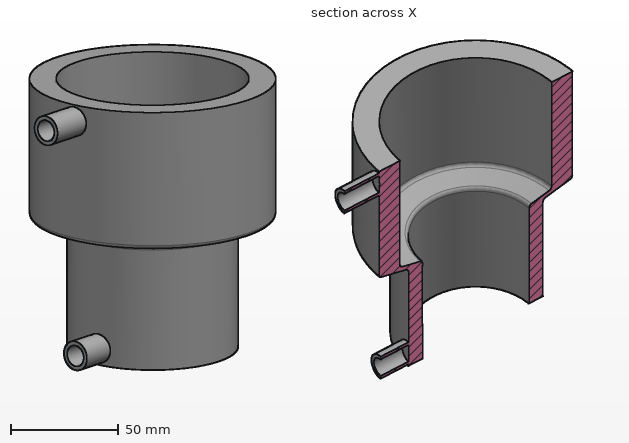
import cadquery as cq

total_height = 130.0
body_diameter = 115.0
body_bore = 90.0
neck_diameter = 80.0
neck_bore = 63.0

shoulder_bottom = 60.0
shoulder_top = 64.0
blend_radius = 2.0

shoulder_slope = (shoulder_top - shoulder_bottom) / (body_diameter - neck_diameter)
seat_top = shoulder_top
seat_bottom = seat_top - shoulder_slope * (body_bore - neck_bore)

port_diameter = 14.0
port_bore = 10.0
port_end_inset = 8.0
upper_port_reach = 78.0
lower_port_reach = 56.5
ports = [
    (port_end_inset, lower_port_reach),
    (total_height - port_end_inset, upper_port_reach),
]


def make_stepped_core(lower_diameter, upper_diameter, cone_bottom, cone_top):
    """Solid of two cylinders joined by a cone, with both ends of the cone blended."""
    lower_radius = lower_diameter / 2
    upper_radius = upper_diameter / 2
    profile = (
        cq.Workplane("XZ")
        .polyline([
            (0, 0),
            (lower_radius, 0),
            (lower_radius, cone_bottom),
            (upper_radius, cone_top),
            (upper_radius, total_height),
            (0, total_height),
        ])
        .close()
    )
    core = profile.revolve(360, (0, 0, 0), (0, 1, 0))
    cone_zone = cq.selectors.BoxSelector(
        (-upper_diameter, -upper_diameter, cone_bottom - blend_radius),
        (upper_diameter, upper_diameter, cone_top + blend_radius),
        boundingbox=True,
    )
    return core.edges(cone_zone).edges("%CIRCLE").fillet(blend_radius)


def make_port(height, reach, outer):
    """Tube standing on the outer wall; its bore stops at that wall."""
    tube = (
        cq.Workplane("XZ", origin=(0, 0, height))
        .circle(port_diameter / 2)
        .circle(port_bore / 2)
        .extrude(reach)
    )
    return tube.cut(outer)


def make_part():
    outer = make_stepped_core(neck_diameter, body_diameter, shoulder_bottom, shoulder_top)
    bore = make_stepped_core(neck_bore, body_bore, seat_bottom, seat_top)
    part = outer.cut(bore)
    for height, reach in ports:
        part = part.union(make_port(height, reach, outer))
    return part


result = make_part()